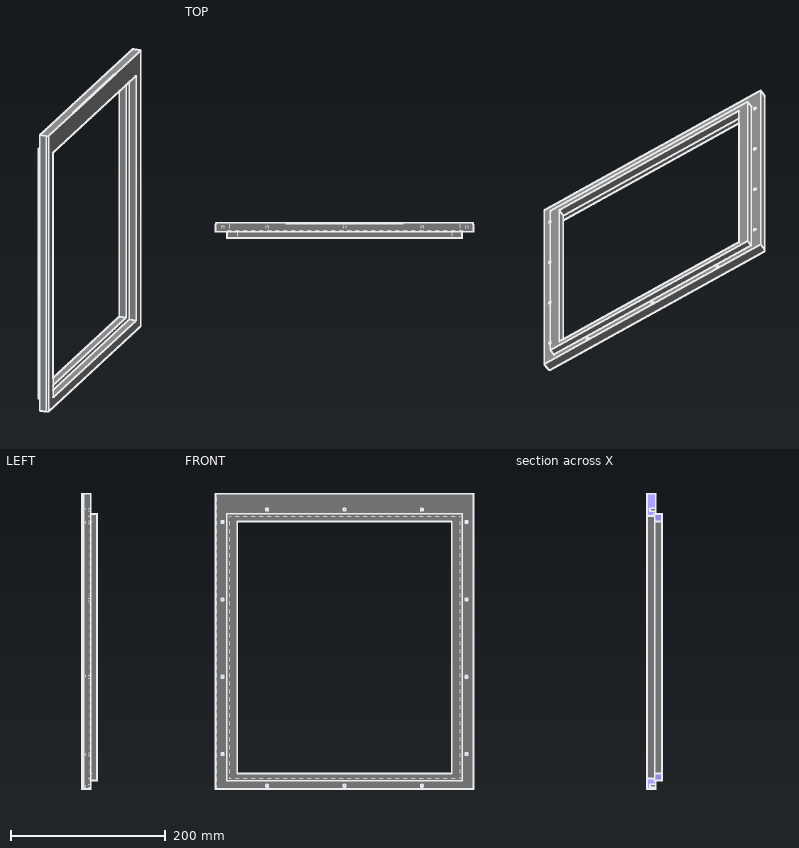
import cadquery as cq

PLATE_WIDTH = 334.0
PLATE_HEIGHT = 382.0
PLATE_THICKNESS = 12.0

FRAME_WIDTH = 304.0
FRAME_HEIGHT = 345.5
FRAME_BOTTOM = 10.7
FRAME_PROJECTION = 8.0
RECESS_DEPTH = 2.0

OPENING_WIDTH = 277.0
OPENING_HEIGHT = 325.5
OPENING_BOTTOM = 20.2

LEDGE = 3.0

BEVEL_DEPTH = 2.5
BEVEL_WIDTH = 1.0

RELIEF_LENGTH = 151.3
RELIEF_DEPTH = 1.0
RELIEF_HEIGHT = 0.5

HOLE_DIAMETER = 3.5
HOLE_DEPTH = 7.5
HOLE_PITCH = 100.0
SIDE_HOLE_COUNT = 4
SIDE_HOLE_X = 157.8
SIDE_HOLE_TOP = 345.5
TOP_ROW_Z = 361.5
BOTTOM_ROW_Z = 4.2


def block(width, height, bottom, front, back):
    """Box centred on X = 0, rising from `bottom`, between Y = front and Y = back."""
    box = cq.Workplane("XY").box(width, back - front, height, centered=(True, False, False))
    return box.translate((0, front, bottom))


def rear_edge_bevel(side):
    """Wedge to cut from an upright rear edge; side is -1 for left and 1 for right."""
    edge_x = side * PLATE_WIDTH / 2
    outline = [
        (edge_x, PLATE_THICKNESS),
        (edge_x, PLATE_THICKNESS - BEVEL_DEPTH),
        (edge_x - side * BEVEL_WIDTH, PLATE_THICKNESS),
    ]
    return cq.Workplane("XY").polyline(outline).close().extrude(PLATE_HEIGHT)


def screw_holes():
    """Blind holes around the frame, drilled from the front face toward +Y."""
    rows = [(column * HOLE_PITCH, z) for column in (-1, 0, 1) for z in (TOP_ROW_Z, BOTTOM_ROW_Z)]
    sides = [
        (side * SIDE_HOLE_X, SIDE_HOLE_TOP - index * HOLE_PITCH)
        for side in (-1, 1)
        for index in range(SIDE_HOLE_COUNT)
    ]
    return cq.Workplane("XZ").pushPoints(rows + sides).circle(HOLE_DIAMETER / 2).extrude(-HOLE_DEPTH)


def make_plate():
    plate = block(PLATE_WIDTH, PLATE_HEIGHT, 0, 0, PLATE_THICKNESS)

    recess = block(FRAME_WIDTH, FRAME_HEIGHT, FRAME_BOTTOM, 0, RECESS_DEPTH)
    opening = block(
        FRAME_WIDTH - 2 * LEDGE,
        FRAME_HEIGHT - 2 * LEDGE,
        FRAME_BOTTOM + LEDGE,
        0,
        PLATE_THICKNESS,
    )
    plate = plate.cut(recess).cut(opening)

    for side in (-1, 1):
        plate = plate.cut(rear_edge_bevel(side))

    relief = block(
        RELIEF_LENGTH,
        RELIEF_HEIGHT,
        PLATE_HEIGHT - RELIEF_HEIGHT,
        PLATE_THICKNESS - RELIEF_DEPTH,
        PLATE_THICKNESS,
    )
    return plate.cut(relief).cut(screw_holes())


def make_frame():
    body = block(FRAME_WIDTH, FRAME_HEIGHT, FRAME_BOTTOM, -FRAME_PROJECTION, RECESS_DEPTH)
    opening = block(OPENING_WIDTH, OPENING_HEIGHT, OPENING_BOTTOM, -FRAME_PROJECTION, RECESS_DEPTH)
    return body.cut(opening)


plate = make_plate()
frame = make_frame()

result = cq.Compound.makeCompound([plate.val(), frame.val()])